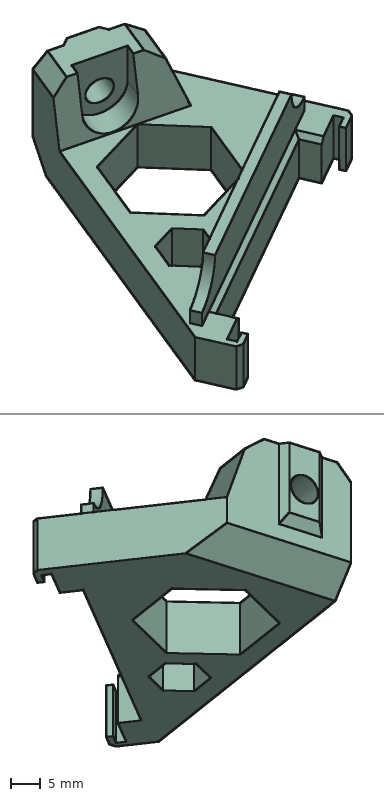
import cadquery as cq
import math

PLATE_HEIGHT = 10.0
PLATE_LEFT_DEPTH = 24.6
PLATE_FRONT_LENGTH = 60.25
EDGE_CHAMFER = 5.0

DIAGONAL_CENTER = 12.9
ROOT2 = math.sqrt(2)
LEFT_END = -PLATE_LEFT_DEPTH / ROOT2 - DIAGONAL_CENTER
RIGHT_END = PLATE_FRONT_LENGTH / ROOT2 - DIAGONAL_CENTER
LAND_OUT = 47.85

HOOK_SLOT_WIDTH = 1.7
HOOK_THICKNESS = 1.2
HOOK_SLOT_END = 28.45
HOOK_TIP = 26.2
HOOK_CHAMFER = 0.9
SLOT_TOP_OUT = LAND_OUT + HOOK_SLOT_WIDTH
HOOK_OUT = SLOT_TOP_OUT + HOOK_THICKNESS

RECESS_HALF_LENGTH = 23.1
RECESS_DEPTH = 5.0
RECESS_CHAMFER = 1.0

RIB_START = -28.2
RIB_END = 26.7
RIB_HEIGHT = 10.0
RIB_THICKNESS = 2.1
RIB_CORNER_RADIUS = 7.0

WINDOW_MARGIN = 3.9
LARGE_HEX_FLATS = 21.3
LARGE_HEX_X = 22.3
SMALL_HEX_FLATS = 9.0
SMALL_HEX_X = 40.25

WALL_HEIGHT = 23.5
WALL_BASE_THICKNESS = 10.0
WALL_TOP_THICKNESS = 7.05
WALL_SHOULDER_HEIGHT = 20.45
WALL_SHOULDER_DEPTH = 21.05
WALL_TOP_FRONT = 2.8
WALL_TOP_BACK = 17.25

BOLT_Y = 10.05
BOLT_Z = 15.4
BOLT_DIAMETER = 5.3
HEAD_POCKET_DIAMETER = 10.45
HEAD_SEAT_X = 4.9
KEY_PROJECTION = 1.25
KEY_FACE_WIDTH = 6.0
KEY_BASE_WIDTH = KEY_FACE_WIDTH + 2 * KEY_PROJECTION
KEY_BASE_Z = 8.0


def diagonal_plane(z):
    """Plane at height z with x along the long edge and y pointing outward."""
    origin = (DIAGONAL_CENTER / ROOT2, -DIAGONAL_CENTER / ROOT2, z)
    return cq.Plane(origin=origin, xDir=(1, -1, 0), normal=(0, 0, 1))


def hook(side, end):
    """Hook on one end; side is -1 or 1, end is the along position of the plate side."""
    slot_end = side * HOOK_SLOT_END
    tip = side * HOOK_TIP
    outline = [
        (end, LAND_OUT - HOOK_THICKNESS),
        (end, HOOK_OUT - HOOK_CHAMFER),
        (end - side * HOOK_CHAMFER, HOOK_OUT),
        (tip, HOOK_OUT),
        (tip, SLOT_TOP_OUT),
        (slot_end, SLOT_TOP_OUT),
        (slot_end, LAND_OUT - HOOK_THICKNESS),
    ]
    return cq.Workplane(diagonal_plane(0)).polyline(outline).close().extrude(PLATE_HEIGHT)


def plate():
    left_out = PLATE_LEFT_DEPTH / ROOT2
    front_out = PLATE_FRONT_LENGTH / ROOT2
    corner = (-DIAGONAL_CENTER, 0)
    outline = [
        corner,
        (LEFT_END, left_out),
        (LEFT_END, LAND_OUT),
        (RIGHT_END, LAND_OUT),
        (RIGHT_END, front_out),
    ]
    body = cq.Workplane(diagonal_plane(0)).polyline(outline).close().extrude(PLATE_HEIGHT)
    return body.union(hook(-1, LEFT_END)).union(hook(1, RIGHT_END))


def recess():
    """Straight-walled cutter that flares out at 45 degrees to the top of the plate."""
    def section(z, inset):
        half = RECESS_HALF_LENGTH - inset
        floor = LAND_OUT - RECESS_DEPTH + inset
        outline = [(-half, floor), (half, floor), (half, HOOK_OUT), (-half, HOOK_OUT)]
        points = [diagonal_plane(z).toWorldCoords(point) for point in outline]
        return cq.Wire.makePolygon(points, close=True)

    flare_start = PLATE_HEIGHT - RECESS_CHAMFER
    lower_section = section(0, RECESS_CHAMFER)
    middle_section = section(flare_start, RECESS_CHAMFER)
    top_section = section(PLATE_HEIGHT, 0)
    straight_part = cq.Solid.makeLoft([lower_section, middle_section], True)
    flare = cq.Solid.makeLoft([middle_section, top_section], True)
    return cq.Workplane(straight_part).union(cq.Workplane(flare))


def rib():
    back = LAND_OUT - RECESS_DEPTH
    top = PLATE_HEIGHT + RIB_HEIGHT
    step = top - RIB_CORNER_RADIUS
    root = PLATE_HEIGHT / 2
    bend = RIB_CORNER_RADIUS / ROOT2
    plane = cq.Plane(
        origin=diagonal_plane(0).toWorldCoords((0, back)).toTuple(),
        xDir=(1, -1, 0),
        normal=(-1, -1, 0),
    )
    return (
        cq.Workplane(plane)
        .moveTo(RIB_START, root)
        .lineTo(RIB_START, step)
        .threePointArc((RIB_START + bend, top - bend), (RIB_START + RIB_CORNER_RADIUS, top))
        .lineTo(RIB_END - RIB_CORNER_RADIUS, top)
        .threePointArc((RIB_END - bend, top - bend), (RIB_END, step))
        .lineTo(RIB_END, root)
        .close()
        .extrude(RIB_THICKNESS)
    )


def hex_window(center_x, flats):
    corner_diameter = flats / math.cos(math.pi / 6)
    center_y = WINDOW_MARGIN + flats / 2
    return (
        cq.Workplane("XY").center(center_x, center_y).polygon(6, corner_diameter).extrude(PLATE_HEIGHT)
    )


def wall():
    """Wall formed where the side profile and the end profile overlap."""
    side_profile = [
        (0, 0),
        (WALL_BASE_THICKNESS, 0),
        (WALL_BASE_THICKNESS, PLATE_HEIGHT),
        (WALL_TOP_THICKNESS, WALL_HEIGHT),
        (0, WALL_HEIGHT),
    ]
    end_profile = [
        (0, 0),
        (PLATE_LEFT_DEPTH, 0),
        (PLATE_LEFT_DEPTH, PLATE_HEIGHT),
        (WALL_SHOULDER_DEPTH, WALL_SHOULDER_HEIGHT),
        (WALL_TOP_BACK, WALL_HEIGHT),
        (WALL_TOP_FRONT, WALL_HEIGHT),
        (0, WALL_SHOULDER_HEIGHT),
    ]
    side = cq.Workplane("XZ").polyline(side_profile).close().extrude(-PLATE_LEFT_DEPTH)
    end = cq.Workplane("YZ").polyline(end_profile).close().extrude(WALL_BASE_THICKNESS)
    return side.intersect(end)


def key():
    """Trapezoidal key with a sloped lower end."""
    half_base = KEY_BASE_WIDTH / 2
    half_face = KEY_FACE_WIDTH / 2
    section = [
        (0, BOLT_Y - half_base),
        (-KEY_PROJECTION, BOLT_Y - half_face),
        (-KEY_PROJECTION, BOLT_Y + half_face),
        (0, BOLT_Y + half_base),
    ]
    side = [
        (0, KEY_BASE_Z),
        (-KEY_PROJECTION, PLATE_HEIGHT),
        (-KEY_PROJECTION, WALL_HEIGHT),
        (0, WALL_HEIGHT),
    ]
    bar = cq.Workplane("XY").polyline(section).close().extrude(WALL_HEIGHT)
    end_slope = cq.Workplane("XZ").polyline(side).close().extrude(-PLATE_LEFT_DEPTH)
    return bar.intersect(end_slope)


def bolt_hole():
    length = KEY_PROJECTION + WALL_BASE_THICKNESS
    return (
        cq.Workplane("YZ", origin=(-KEY_PROJECTION, BOLT_Y, BOLT_Z)).circle(BOLT_DIAMETER / 2).extrude(length)
    )


def head_pocket():
    """Round-bottomed seat for the bolt head, open at the top of the wall."""
    depth = WALL_BASE_THICKNESS - HEAD_SEAT_X
    rise = WALL_HEIGHT - BOLT_Z
    seat = cq.Workplane("YZ", origin=(HEAD_SEAT_X, BOLT_Y, BOLT_Z))
    round_end = seat.circle(HEAD_POCKET_DIAMETER / 2).extrude(depth)
    channel = seat.center(0, rise / 2).rect(HEAD_POCKET_DIAMETER, rise).extrude(depth)
    return round_end.union(channel)


def lower_edge_chamfer():
    corner = [(0, 0), (EDGE_CHAMFER, 0), (0, EDGE_CHAMFER)]
    return cq.Workplane("XZ").polyline(corner).close().extrude(-2 * PLATE_LEFT_DEPTH)


result = plate().cut(recess()).union(rib()).union(wall()).union(key())
result = result.cut(hex_window(LARGE_HEX_X, LARGE_HEX_FLATS))
result = result.cut(hex_window(SMALL_HEX_X, SMALL_HEX_FLATS))
result = result.cut(bolt_hole()).cut(head_pocket()).cut(lower_edge_chamfer())